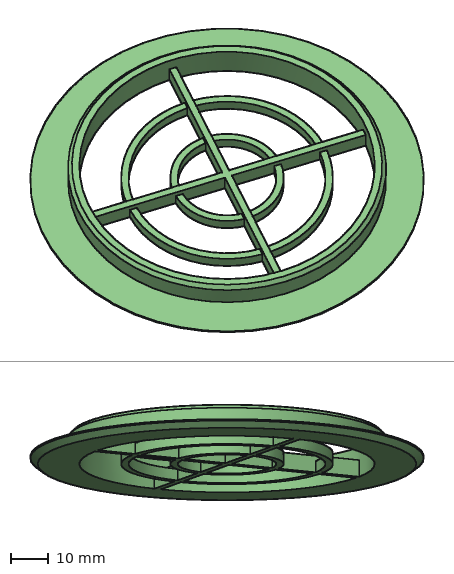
import cadquery as cq

flange_diameter = 104.0
flange_thickness = 2.0
edge_height = 0.4
rim_taper = 2.0

collar_outer_diameter = 84.0
opening_diameter = 78.0
total_height = 8.0
collar_chamfer = 1.0

rib_width = 2.0
ring_height = 3.0
bar_height = 4.5
ring_inner_diameters = (26.0, 52.0)


def make_tube(outer_diameter, inner_diameter, height):
    """Tube around Z, standing on the XY plane."""
    return cq.Workplane("XY").circle(outer_diameter / 2).circle(inner_diameter / 2).extrude(height)


def make_frame():
    """Flange and collar, turned as a single profile around Z."""
    opening_radius = opening_diameter / 2
    flange_radius = flange_diameter / 2
    collar_radius = collar_outer_diameter / 2
    profile = (
        cq.Workplane("XZ")
        .moveTo(opening_radius, 0)
        .lineTo(flange_radius - rim_taper, 0)
        .lineTo(flange_radius, flange_thickness - edge_height)
        .lineTo(flange_radius, flange_thickness)
        .lineTo(collar_radius, flange_thickness)
        .lineTo(collar_radius, total_height - collar_chamfer)
        .lineTo(collar_radius - collar_chamfer, total_height)
        .lineTo(opening_radius, total_height)
        .close()
    )
    return profile.revolve(360, (0, 0, 0), (0, 1, 0))


def make_bars():
    """Two crossing bars whose ends sink into the wall of the frame."""
    wall = (collar_outer_diameter - opening_diameter) / 2
    bar_length = opening_diameter + wall
    bar_along_x = cq.Workplane("XY").box(bar_length, rib_width, bar_height, centered=(True, True, False))
    return bar_along_x.union(bar_along_x.rotate((0, 0, 0), (0, 0, 1), 90))


result = make_frame().union(make_bars())
for inner_diameter in ring_inner_diameters:
    result = result.union(make_tube(inner_diameter + 2 * rib_width, inner_diameter, ring_height))